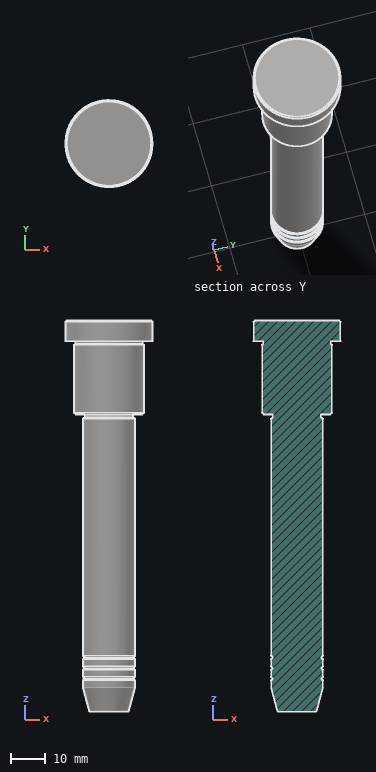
import cadquery as cq
import math

total_length = 112.0
head_diameter = 25.0
head_height = 6.0
head_chamfer = 0.5
collar_diameter = 20.0
collar_bottom_depth = 27.0
collar_chamfer = 0.6
shaft_diameter = 15.0
collar_relief_width = 1.0
shaft_relief_width = 1.1
relief_runout = 0.3
collar_relief_depth = 0.3
shaft_relief_depth = 0.6
groove_count = 3
groove_width = 1.0
groove_pitch = 3.0
first_groove_height = 9.5
tip_height = 7.0
tip_angle = 15.0
tip_fillet = 0.6

head_radius = head_diameter / 2
collar_radius = collar_diameter / 2
shaft_radius = shaft_diameter / 2
head_bottom = total_length - head_height
collar_bottom = total_length - collar_bottom_depth
tip_radius = shaft_radius - tip_height * math.tan(math.radians(tip_angle))


def cylinder(radius, bottom, top):
    return cq.Workplane("XY").workplane(offset=bottom).circle(radius).extrude(top - bottom)


def under_shoulder_relief(radius, depth, width, shoulder):
    """Ring cut below a shoulder, with a sloped runout at its lower end."""
    bottom = shoulder - width
    return (
        cq.Workplane("XZ")
        .moveTo(radius, bottom)
        .lineTo(radius - depth, bottom + relief_runout)
        .lineTo(radius - depth, shoulder)
        .lineTo(radius, shoulder)
        .close()
        .revolve(360, (0, 0), (0, 1))
    )


def vee_groove(center_height):
    """Ring groove with a 90 degree vee section."""
    half_width = groove_width / 2
    return (
        cq.Workplane("XZ")
        .moveTo(shaft_radius, center_height - half_width)
        .lineTo(shaft_radius - half_width, center_height)
        .lineTo(shaft_radius, center_height + half_width)
        .close()
        .revolve(360, (0, 0), (0, 1))
    )


head = cylinder(head_radius, head_bottom, total_length).faces(">Z").edges().chamfer(head_chamfer)

collar = cylinder(collar_radius, collar_bottom, head_bottom).faces("<Z").edges().chamfer(collar_chamfer)
collar = collar.cut(under_shoulder_relief(collar_radius, collar_relief_depth, collar_relief_width, head_bottom))

shaft = cylinder(shaft_radius, tip_height, collar_bottom)
shaft = shaft.cut(under_shoulder_relief(shaft_radius, shaft_relief_depth, shaft_relief_width, collar_bottom))

tip = (
    cq.Workplane("XY")
    .circle(tip_radius)
    .extrude(tip_height, taper=-tip_angle)
    .faces("<Z")
    .edges()
    .fillet(tip_fillet)
)

result = head.union(collar).union(shaft).union(tip)

for index in range(groove_count):
    result = result.cut(vee_groove(first_groove_height + index * groove_pitch))